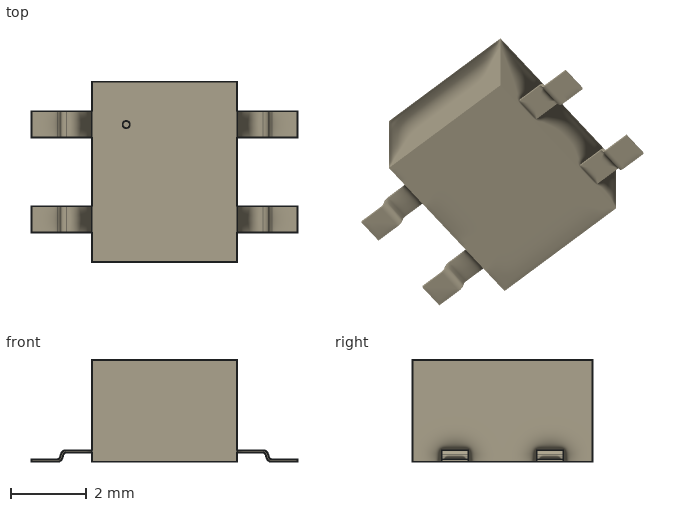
import cadquery as cq
import math

overall_length = 7.01
housing_length = 3.83
housing_width = 4.75
housing_height = 2.69

dot_diameter = 0.19
dot_depth = 0.035
dot_x = -1.01
dot_y = 1.25

lead_thickness = 0.07
lead_width = 0.7
lead_pitch = 2.5
lead_top = 0.315
foot_length = 0.67
bend_inner_radius = 0.085
bend_angle = math.radians(75)
bend_outer_radius = bend_inner_radius + lead_thickness

lead_tip_x = overall_length / 2
lead_root_x = housing_length / 2
foot_bend_x = lead_tip_x - foot_length
bend_sine = math.sin(bend_angle)
bend_cosine = math.cos(bend_angle)
inner_bend_run = bend_inner_radius * bend_sine
outer_bend_run = bend_outer_radius * bend_sine
inner_bend_drop = bend_inner_radius * (1 - bend_cosine)
outer_bend_drop = bend_outer_radius * (1 - bend_cosine)

shoulder_underside = lead_top - lead_thickness
riser_height = shoulder_underside - inner_bend_drop - outer_bend_drop
riser_run = riser_height / math.tan(bend_angle)
shoulder_bend_x = foot_bend_x - inner_bend_run - outer_bend_run - riser_run


def dot_disc():
    return (
        cq.Workplane("XY", origin=(dot_x, dot_y, housing_height - dot_depth))
        .circle(dot_diameter / 2)
        .extrude(dot_depth)
    )


def housing_block():
    block = cq.Workplane("XY").box(
        housing_length, housing_width, housing_height, centered=(True, True, False)
    )
    return block.cut(dot_disc())


def right_lead(center_y):
    """Lead on the +X side: flat shoulder, sloping riser between two bends, flat foot."""
    return (
        cq.Workplane("XZ", origin=(0, center_y, 0))
        .moveTo(lead_root_x, lead_top)
        .lineTo(shoulder_bend_x, lead_top)
        .radiusArc((shoulder_bend_x + outer_bend_run, lead_top - outer_bend_drop), bend_outer_radius)
        .lineTo(foot_bend_x - inner_bend_run, lead_thickness + inner_bend_drop)
        .radiusArc((foot_bend_x, lead_thickness), -bend_inner_radius)
        .lineTo(lead_tip_x, lead_thickness)
        .lineTo(lead_tip_x, 0)
        .lineTo(foot_bend_x, 0)
        .radiusArc((foot_bend_x - outer_bend_run, outer_bend_drop), bend_outer_radius)
        .lineTo(shoulder_bend_x + inner_bend_run, shoulder_underside - inner_bend_drop)
        .radiusArc((shoulder_bend_x, shoulder_underside), -bend_inner_radius)
        .lineTo(lead_root_x, shoulder_underside)
        .close()
        .extrude(lead_width / 2, both=True)
    )


housing = housing_block()
dot = dot_disc()

leads = []
for center_y in (-lead_pitch / 2, lead_pitch / 2):
    lead = right_lead(center_y)
    leads.append(lead.val())
    leads.append(lead.mirror("YZ").val())

result = cq.Compound.makeCompound([housing.val(), dot.val(), *leads])